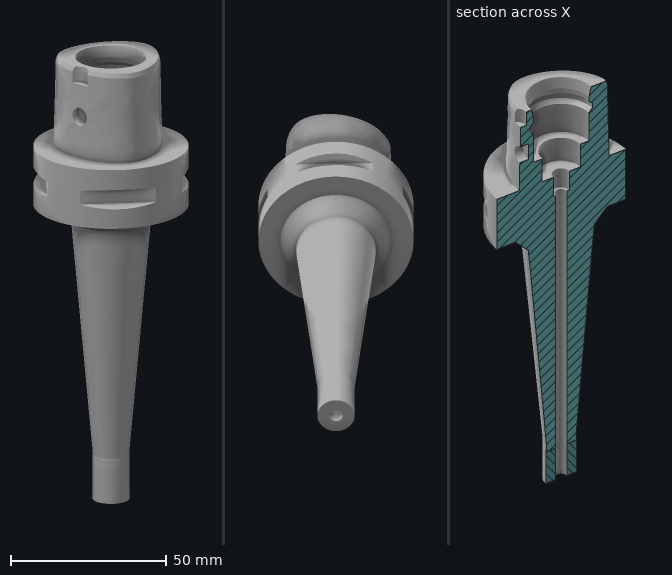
import cadquery as cq
import math

taper_height = 30.0
total_length = 150.0
bottom_z = taper_height - total_length

lobe_mean_radius = 17.5
lobe_offset = 1.1
taper_slope = 1 / 40
rim_chamfer_height = 1.5
rim_chamfer_inset = 0.6
outline_points = 48

flange_radius = total_length / 6
flange_height = 20.0
neck_top_radius = 17.8
neck_height = 5.1
shank_top_radius = 12.9
shank_end_radius = 5.8
shank_end_z = -104.8
neck_bottom_z = -flange_height - neck_height

tip_radius = 6.0
collar_bevel_height = 0.5
collar_radius = (shank_end_radius + tip_radius) / 2
tip_top_z = -107.5

slot_count = 4
slot_first_angle = 45.0
slot_center_z = -10.0
slot_floor_radius = 21.8
slot_floor_height = 4.6
slot_mouth_height = 6.6

mouth_radius = 11.5
lead_in_depth = 3.8
main_bore_radius = 10.6
main_bore_depth = 21.0
groove_top_depth = 5.4
groove_bottom_depth = 9.9
groove_radial_depth = 1.4
deep_bore_radius = 7.4
deep_bore_depth = 30.0
counterbore_radius = 3.0
counterbore_depth = 7.5
coolant_radius = 2.1

notch_radius = 3.8
notch_inner_y = -13.6
notch_depth = 5.2
side_hole_radius = 3.0
side_hole_z = 14.0
side_hole_floor_y = -12.8


def lobed_wire(mean_radius, z):
    """Constant-width three-lobed outline with one lobe pointing to +Y."""
    points = []
    for i in range(outline_points):
        angle = 2 * math.pi * i / outline_points
        support = mean_radius - lobe_offset * math.sin(3 * angle)
        support_slope = -3 * lobe_offset * math.cos(3 * angle)
        x = support * math.cos(angle) - support_slope * math.sin(angle)
        y = support * math.sin(angle) + support_slope * math.cos(angle)
        points.append(cq.Vector(x, y, z))
    return cq.Wire.assembleEdges([cq.Edge.makeSpline(points, periodic=True)])


def lobed_taper():
    chamfer_z = taper_height - rim_chamfer_height
    chamfer_radius = lobe_mean_radius - taper_slope * chamfer_z
    base = lobed_wire(lobe_mean_radius, 0)
    shoulder = lobed_wire(chamfer_radius, chamfer_z)
    rim = lobed_wire(chamfer_radius - rim_chamfer_inset, taper_height)
    body = cq.Workplane(cq.Solid.makeLoft([base, shoulder], True))
    return body.union(cq.Workplane(cq.Solid.makeLoft([shoulder, rim], True)))


def revolve_profile(points):
    """Turn a closed (radius, z) profile about the Z axis."""
    return cq.Workplane("XZ").polyline(points).close().revolve(360, (0, 0), (0, 1))


def flange_and_shank():
    return revolve_profile([
        (0, 0),
        (flange_radius, 0),
        (flange_radius, -flange_height),
        (neck_top_radius, -flange_height),
        (shank_top_radius, neck_bottom_z),
        (shank_end_radius, shank_end_z),
        (collar_radius, shank_end_z - collar_bevel_height),
        (tip_radius, tip_top_z),
        (0, tip_top_z),
    ])


def stepped_bore():
    """Tapered mouth, main bore, deep bore, counterbore and coolant hole."""
    main_z = taper_height - main_bore_depth
    deep_z = taper_height - deep_bore_depth
    counterbore_z = deep_z - counterbore_depth
    return revolve_profile([
        (0, taper_height),
        (mouth_radius, taper_height),
        (main_bore_radius, taper_height - lead_in_depth),
        (main_bore_radius, main_z),
        (deep_bore_radius, main_z),
        (deep_bore_radius, deep_z),
        (counterbore_radius, deep_z),
        (counterbore_radius, counterbore_z),
        (coolant_radius, counterbore_z),
        (coolant_radius, tip_top_z),
        (0, tip_top_z),
    ])


def clamping_groove():
    """Groove in the main bore with 45-degree upper and lower walls."""
    upper_z = taper_height - groove_top_depth
    lower_z = taper_height - groove_bottom_depth
    groove_radius = main_bore_radius + groove_radial_depth
    return revolve_profile([
        (0, upper_z),
        (main_bore_radius, upper_z),
        (groove_radius, upper_z - groove_radial_depth),
        (groove_radius, lower_z + groove_radial_depth),
        (main_bore_radius, lower_z),
        (0, lower_z),
    ])


def gripper_slot(angle):
    """Flat-floored slot whose upper and lower walls flare outward."""
    half_floor = slot_floor_height / 2
    half_mouth = slot_mouth_height / 2
    slot = (
        cq.Workplane("XZ")
        .polyline([
            (slot_floor_radius, slot_center_z - half_floor),
            (flange_radius, slot_center_z - half_mouth),
            (flange_radius, slot_center_z + half_mouth),
            (slot_floor_radius, slot_center_z + half_floor),
        ])
        .close()
        .extrude(flange_radius, both=True)
    )
    return slot.rotate((0, 0, 0), (0, 0, 1), angle)


def rim_notch():
    return (
        cq.Workplane("XY", origin=(0, notch_inner_y - notch_radius, taper_height - notch_depth))
        .circle(notch_radius)
        .extrude(notch_depth)
    )


def side_hole():
    return (
        cq.Workplane("XZ", origin=(0, side_hole_floor_y, side_hole_z))
        .circle(side_hole_radius)
        .extrude(flange_radius + side_hole_floor_y)
    )


def make_holder():
    holder = flange_and_shank().union(lobed_taper())
    for i in range(slot_count):
        holder = holder.cut(gripper_slot(slot_first_angle + i * 360 / slot_count))
    return holder.cut(stepped_bore()).cut(clamping_groove()).cut(rim_notch()).cut(side_hole())


def make_tip():
    return (
        cq.Workplane("XY", origin=(0, 0, bottom_z))
        .circle(tip_radius)
        .circle(coolant_radius)
        .extrude(tip_top_z - bottom_z)
    )


holder = make_holder()
tip = make_tip()
result = cq.Compound.makeCompound([holder.val(), tip.val()])